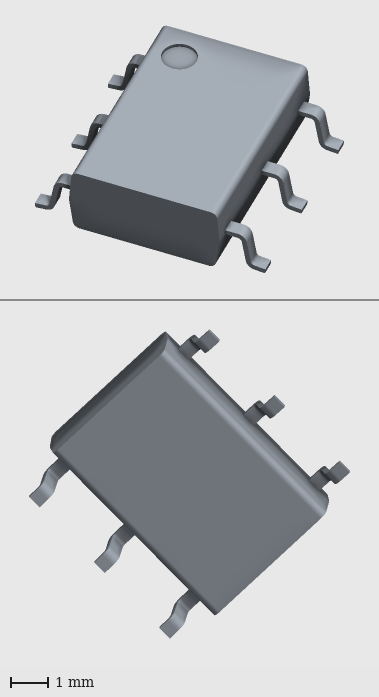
import cadquery as cq
import math

SPAN = 6.74
TOTAL_HEIGHT = 2.1

BODY_LENGTH = 6.3
BODY_WIDTH = 4.395
STANDOFF = 0.1
BELT_HEIGHT = 0.135
UPPER_DRAFT = math.radians(4.5)
LOWER_DRAFT = math.radians(8)
EDGE_RADIUS = 0.2

MARK_DIAMETER = 1.0
MARK_DEPTH = 0.1
MARK_X = -1.2
MARK_Y = 2.16

LEAD_WIDTH = 0.405
LEAD_THICKNESS = 0.15
LEAD_PITCH = 2.54
LEADS_PER_SIDE = 3
LEAD_TOP = 1.17
INNER_BEND = 0.12
OUTER_BEND = INNER_BEND + LEAD_THICKNESS
LEG_TILT = math.radians(10)
FOOT_TILT = math.radians(5)
FOOT_LENGTH = 0.32


def make_body():
    """Drafted block with a vertical belt centred on the lead shoulders."""
    belt_middle = LEAD_TOP - LEAD_THICKNESS / 2
    belt_top = belt_middle + BELT_HEIGHT / 2
    belt_bottom = belt_middle - BELT_HEIGHT / 2
    half_width = BODY_WIDTH / 2
    top_half = half_width - (TOTAL_HEIGHT - belt_top) * math.tan(UPPER_DRAFT)
    bottom_half = half_width - (belt_bottom - STANDOFF) * math.tan(LOWER_DRAFT)
    right_side = [
        (bottom_half, STANDOFF),
        (half_width, belt_bottom),
        (half_width, belt_top),
        (top_half, TOTAL_HEIGHT),
    ]
    left_side = [(-x, z) for x, z in reversed(right_side)]
    block = (
        cq.Workplane("XZ")
        .polyline(right_side + left_side)
        .close()
        .extrude(BODY_LENGTH / 2, both=True)
    )
    block = block.faces(">Z or <Z").edges("|Y").fillet(EDGE_RADIUS)
    mark = (
        cq.Workplane("XY", origin=(MARK_X, MARK_Y, TOTAL_HEIGHT - MARK_DEPTH))
        .circle(MARK_DIAMETER / 2)
        .extrude(MARK_DEPTH)
    )
    return block.cut(mark)


def polar(center, radius, angle):
    """Point at the given radius and angle from a bend center, in the XZ plane."""
    return (center[0] + radius * math.cos(angle), center[1] + radius * math.sin(angle))


def make_left_lead(y):
    """Lead from the left face of the body: shoulder, upper bend, leg, lower bend, foot."""
    up = math.pi / 2
    leg_outward = math.pi - LEG_TILT
    leg_inward = -LEG_TILT
    foot_down = FOOT_TILT - math.pi / 2
    upper_middle = (up + leg_outward) / 2
    lower_middle = (leg_inward + foot_down) / 2

    lower_center = (
        -SPAN / 2 + FOOT_LENGTH * math.cos(FOOT_TILT) - INNER_BEND * math.sin(FOOT_TILT),
        OUTER_BEND * math.cos(FOOT_TILT) + FOOT_LENGTH * math.sin(FOOT_TILT),
    )
    bend_sum = INNER_BEND + OUTER_BEND
    upper_z = LEAD_TOP - OUTER_BEND
    leg_rise = upper_z - lower_center[1] + bend_sum * math.sin(LEG_TILT)
    upper_x = lower_center[0] + bend_sum * math.cos(LEG_TILT) + leg_rise * math.tan(LEG_TILT)
    upper_center = (upper_x, upper_z)

    foot_top = polar(lower_center, INNER_BEND, foot_down)
    foot_bottom = polar(lower_center, OUTER_BEND, foot_down)
    tip_dx = -FOOT_LENGTH * math.cos(FOOT_TILT)
    tip_dz = -FOOT_LENGTH * math.sin(FOOT_TILT)
    body_side = -BODY_WIDTH / 2

    return (
        cq.Workplane("XZ", origin=(0, y, 0))
        .moveTo(body_side, LEAD_TOP)
        .lineTo(*polar(upper_center, OUTER_BEND, up))
        .threePointArc(
            polar(upper_center, OUTER_BEND, upper_middle), polar(upper_center, OUTER_BEND, leg_outward)
        )
        .lineTo(*polar(lower_center, INNER_BEND, leg_inward))
        .threePointArc(polar(lower_center, INNER_BEND, lower_middle), foot_top)
        .lineTo(foot_top[0] + tip_dx, foot_top[1] + tip_dz)
        .lineTo(foot_bottom[0] + tip_dx, foot_bottom[1] + tip_dz)
        .lineTo(*foot_bottom)
        .threePointArc(
            polar(lower_center, OUTER_BEND, lower_middle), polar(lower_center, OUTER_BEND, leg_inward)
        )
        .lineTo(*polar(upper_center, INNER_BEND, leg_outward))
        .threePointArc(
            polar(upper_center, INNER_BEND, upper_middle), polar(upper_center, INNER_BEND, up)
        )
        .lineTo(body_side, LEAD_TOP - LEAD_THICKNESS)
        .close()
        .extrude(LEAD_WIDTH / 2, both=True)
    )


body = make_body()

leads = []
for row in range(LEADS_PER_SIDE):
    lead_y = (row - (LEADS_PER_SIDE - 1) / 2) * LEAD_PITCH
    left_lead = make_left_lead(lead_y)
    leads.append(left_lead.val())
    leads.append(left_lead.mirror("YZ").val())

result = cq.Compound.makeCompound([body.val(), *leads])